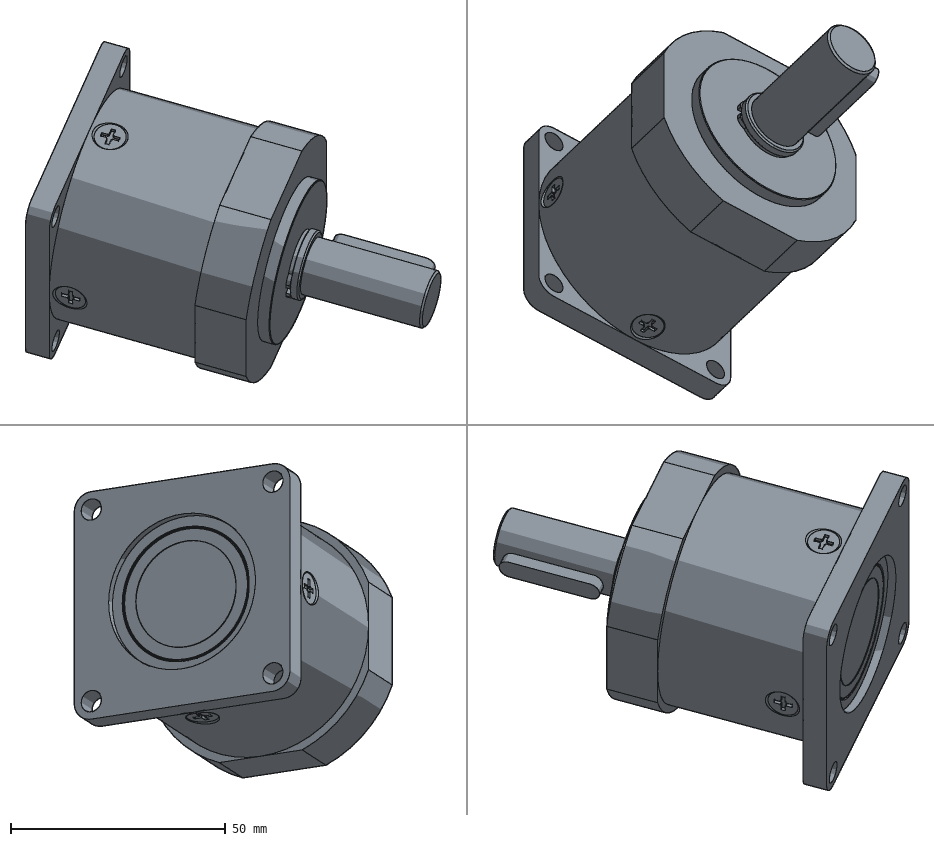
import cadquery as cq
import math


flange_end = 5.9
body_end = 42.0
length = 90.7
shaft_reach = 36.0
front_end = length - shaft_reach
pilot_end = front_end + 3.0
ring_end = pilot_end + 1.0
collar_end = ring_end + 2.0

flange_side = 56.0
bolt_spacing = 47.14
bolt_hole_diameter = 5.2
flange_corner_radius = (flange_side - bolt_spacing) / 2

body_diameter = 56.0
front_diameter = 60.0
front_across_flats = 56.0
pilot_diameter = 40.0
pilot_chamfer = 0.2

shaft_diameter = 14.0
shaft_chamfer = 0.5
collar_diameter = 17.0
collar_chamfer = 0.4

ring_diameter = 16.2
ring_gap = 2.0
lug_reach = 8.8
lug_outer_half_width = 2.05
lug_root_half_width = 4.2
lug_shoulder_bulge = 0.3

key_length = 25.0
key_width = 5.0
key_top = 9.5
key_end_margin = 2.5

recess_diameter = 38.1
recess_depth = 2.0
groove_outer_diameter = 33.0
groove_step_diameter = 32.5
groove_inner_diameter = 32.0
groove_depth = 0.5
groove_step_depth = 0.25
sink_diameter = 26.0
sink_depth = 0.2

screw_x = 11.0
screw_count = 4
screw_head_diameter = 7.5
screw_head_depth = 0.4
countersink_diameter = 8.5
cross_length = 4.5
cross_width = 1.0
cross_depth = 0.8
cross_center_side = 1.4


def cylinder_x(diameter, start, end):
    return cq.Workplane("YZ", origin=(start, 0, 0)).circle(diameter / 2).extrude(end - start)


def make_flange():
    return (
        cq.Workplane("YZ")
        .rect(flange_side, flange_side)
        .extrude(flange_end)
        .edges("|X")
        .fillet(flange_corner_radius)
        .faces("<X")
        .workplane(centerOption="CenterOfBoundBox")
        .rect(bolt_spacing, bolt_spacing, forConstruction=True)
        .vertices()
        .hole(bolt_hole_diameter)
    )


def make_front_housing():
    flats = (
        cq.Workplane("YZ", origin=(body_end, 0, 0))
        .rect(front_across_flats, front_across_flats)
        .extrude(front_end - body_end)
    )
    housing = cylinder_x(front_diameter, body_end, front_end).intersect(flats)
    pilot = cylinder_x(pilot_diameter, front_end, pilot_end).faces(">X").chamfer(pilot_chamfer)
    return housing.union(pilot)


def make_shaft():
    shaft = cylinder_x(shaft_diameter, front_end, length).faces(">X").chamfer(shaft_chamfer)
    collar = cylinder_x(collar_diameter, ring_end, collar_end).faces(">X").chamfer(collar_chamfer)
    return shaft.union(collar)


def make_retaining_ring():
    thickness = ring_end - pilot_end
    root_y = -math.sqrt((ring_diameter / 2) ** 2 - lug_root_half_width**2)
    run_y = root_y + lug_reach
    run_z = lug_root_half_width - lug_outer_half_width
    bulge_ratio = lug_shoulder_bulge / math.hypot(run_y, run_z)
    bend_y = (root_y - lug_reach) / 2 - run_z * bulge_ratio
    bend_z = (lug_root_half_width + lug_outer_half_width) / 2 + run_y * bulge_ratio
    lugs = (
        cq.Workplane("YZ", origin=(pilot_end, 0, 0))
        .moveTo(0, lug_root_half_width)
        .lineTo(root_y, lug_root_half_width)
        .threePointArc((bend_y, bend_z), (-lug_reach, lug_outer_half_width))
        .lineTo(-lug_reach, -lug_outer_half_width)
        .threePointArc((bend_y, -bend_z), (root_y, -lug_root_half_width))
        .lineTo(0, -lug_root_half_width)
        .close()
        .extrude(thickness)
    )
    gap = (
        cq.Workplane("YZ", origin=(pilot_end, -lug_reach / 2, 0))
        .rect(lug_reach, ring_gap)
        .extrude(thickness)
    )
    return cylinder_x(ring_diameter, pilot_end, ring_end).union(lugs).cut(gap)


def make_key():
    center_x = length - key_end_margin - key_length / 2
    return (
        cq.Workplane("XZ", origin=(center_x, 0, 0))
        .slot2D(key_length, key_width)
        .extrude(-key_top)
    )


def make_ring(outer_diameter, inner_diameter, start, end):
    return cylinder_x(outer_diameter, start, end).cut(cylinder_x(inner_diameter, start, end))


def make_motor_recess():
    """Round recess whose floor has a stepped ring groove and a shallow central sink."""
    floor = recess_depth
    recess = cylinder_x(recess_diameter, 0, floor)
    groove = make_ring(groove_outer_diameter, groove_step_diameter, floor, floor + groove_depth)
    step = make_ring(groove_step_diameter, groove_inner_diameter, floor, floor + groove_step_depth)
    sink = cylinder_x(sink_diameter, floor, floor + sink_depth)
    return recess.union(groove).union(step).union(sink)


def make_screw_recess():
    """Countersink and cross-slotted screw head on the +Z side; the slot widens at its center."""
    head_z = body_diameter / 2 - screw_head_depth
    countersink = (
        cq.Workplane("XY", origin=(screw_x, 0, head_z))
        .circle(screw_head_diameter / 2)
        .workplane(offset=screw_head_depth)
        .circle(countersink_diameter / 2)
        .loft()
    )
    slot = cq.Workplane("XY", origin=(screw_x, 0, head_z))
    arm_along = slot.rect(cross_length, cross_width).extrude(-cross_depth)
    arm_across = slot.rect(cross_width, cross_length).extrude(-cross_depth)
    center = slot.rect(cross_center_side, cross_center_side).extrude(-cross_depth)
    return countersink.union(arm_along).union(arm_across).union(center)


result = (
    cylinder_x(body_diameter, flange_end, body_end)
    .union(make_flange())
    .union(make_front_housing())
    .union(make_shaft())
    .union(make_retaining_ring())
    .union(make_key())
    .cut(make_motor_recess())
)
screw_recess = make_screw_recess()
for index in range(screw_count):
    angle = index * 360 / screw_count
    result = result.cut(screw_recess.rotate((0, 0, 0), (1, 0, 0), angle))